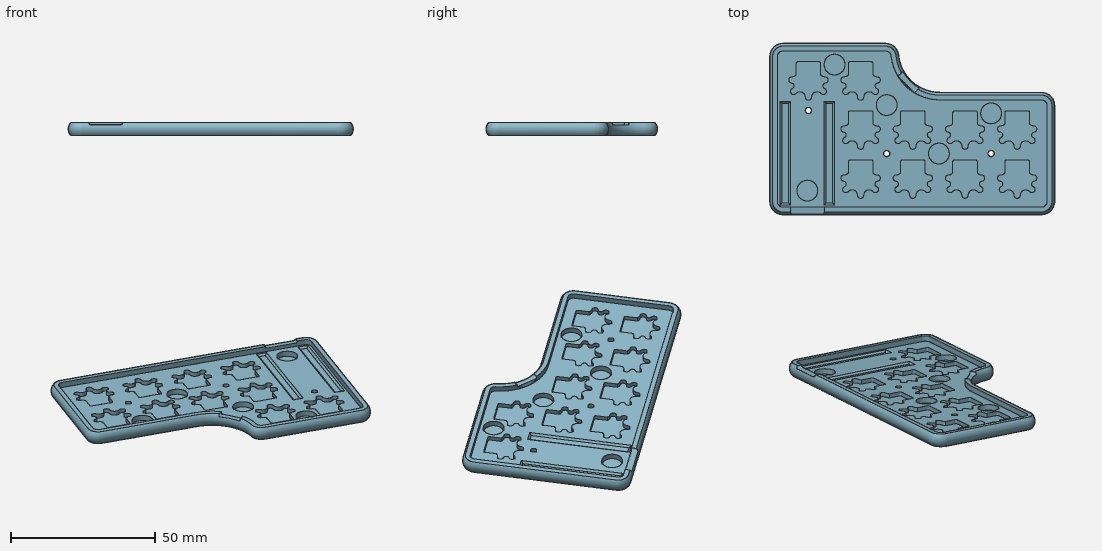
import cadquery as cq
import math

length = 98.9
width = 59.5
height = 4.6
corner_radius = 4.6
step_start = 40.2
step_drop = 17.0
sweep_radius = 14.3
edge_bulge = 1.0
rim_width = 2.7
tray_depth = 2.0
floor_z = height - tray_depth

column_pitch = 18.1
row_pitch = 17.0
grid_x = 13.5
grid_y = 12.8
cog_depth = 1.5
cog_cells = [(column, row) for row in (0, 1) for column in (1, 2, 3, 4)] + [(0, 2), (1, 2)]

stem_half_width = 4.3
stem_top = 6.3
stem_base = 1.8
stem_corner_radius = 0.6
lobe_radius = 1.1
side_lobe = (5.7, 0.0)
lower_lobe = (5.1, -4.0)
bottom_lobe = (0.0, -5.9)
shoulder_dip_radius = 2.1
side_dip_radius = 1.0
bottom_dip_radius = 1.9

pin_diameter = 2.1
magnet_diameter = 7.2
magnet_depth = 2.0

slot_axis_x = 13.1
slot_spacing = 15.3
slot_width = 3.7
slot_length = 35.9
slot_front_y = 3.5
slot_depth = 0.7
slot_taper = 45.0

notch_depth = 0.9
front_notch_width = 11.8
front_notch_fillet = 0.7
front_notch_slope = 4.0
curve_notch_width = 8.1
curve_notch_fillet = 0.5

arc_reach = corner_radius + sweep_radius
sweep_x = step_start + math.sqrt(arc_reach**2 - (arc_reach - step_drop) ** 2)
sweep_y = width - step_drop + sweep_radius


def outline(inset, z):
    """Closed tray outline, moved inwards by inset and drawn at height z."""
    convex = corner_radius - inset
    concave = sweep_radius + inset
    diagonal = convex * math.sqrt(0.5)
    left, right = inset, length - inset
    bottom, top = inset, width - inset
    step_top = top - step_drop
    near, far = corner_radius, length - corner_radius
    high = width - corner_radius
    step_high = high - step_drop

    turn = math.atan2(sweep_y - high, sweep_x - step_start)
    corner_mid = (turn + math.pi / 2) / 2
    sweep_mid = (turn + math.pi + 1.5 * math.pi) / 2

    def on_corner(angle):
        return (step_start + convex * math.cos(angle), high + convex * math.sin(angle))

    def on_sweep(angle):
        return (sweep_x + concave * math.cos(angle), sweep_y + concave * math.sin(angle))

    return (
        cq.Workplane("XY", origin=(0, 0, z))
        .moveTo(near, bottom)
        .lineTo(far, bottom)
        .threePointArc((far + diagonal, near - diagonal), (right, near))
        .lineTo(right, step_high)
        .threePointArc((far + diagonal, step_high + diagonal), (far, step_top))
        .lineTo(sweep_x, step_top)
        .threePointArc(on_sweep(sweep_mid), on_corner(turn))
        .threePointArc(on_corner(corner_mid), (step_start, top))
        .lineTo(near, top)
        .threePointArc((near - diagonal, high + diagonal), (left, high))
        .lineTo(left, near)
        .threePointArc((near - diagonal, near - diagonal), (near, bottom))
        .close()
    )


def tray():
    """Plate with a bulging rounded side and a shallow tray sunk into its top."""
    core = outline(edge_bulge, 0).extrude(height)
    rounded_side = (
        cq.Workplane("YZ", origin=(corner_radius, 0, 0))
        .moveTo(rim_width, 0)
        .lineTo(edge_bulge, 0)
        .threePointArc((0, height / 2), (edge_bulge, height))
        .lineTo(rim_width, height)
        .close()
        .sweep(outline(edge_bulge, 0))
    )
    recess = outline(rim_width, floor_z).extrude(tray_depth)
    return core.union(rounded_side).cut(recess)


def point_between(start, end, distance):
    """Point at the given distance from start, towards end."""
    span = math.dist(start, end)
    return tuple(a + (b - a) * distance / span for a, b in zip(start, end))


def dip_centre(first, first_radius, second, second_radius, dip_radius):
    """Centre of the dip circle touching two lobes, on the left going from first to second."""
    span = math.dist(first, second)
    reach_1 = first_radius + dip_radius
    reach_2 = second_radius + dip_radius
    along = (span**2 + reach_1**2 - reach_2**2) / (2 * span)
    aside = math.sqrt(reach_1**2 - along**2)
    ux, uy = ((b - a) / span for a, b in zip(first, second))
    return (first[0] + ux * along - uy * aside, first[1] + uy * along + ux * aside)


def arc_middle(centre, start, end, radius, side):
    """Middle of an arc that bulges to the left (side = 1) or right (side = -1) of its chord."""
    span = math.dist(start, end)
    normal_x = (start[1] - end[1]) / span
    normal_y = (end[0] - start[0]) / span
    return (centre[0] + side * radius * normal_x, centre[1] + side * radius * normal_y)


def mirrored(point):
    return (-point[0], point[1])


def cog_pocket():
    """Cutter for one pocket: a square stem above five rounded lobes, its floor at Z = 0."""
    shoulder = (stem_half_width, stem_base)
    half = [(shoulder, 0.0), (side_lobe, lobe_radius), (lower_lobe, lobe_radius)]
    other_half = [(mirrored(centre), radius) for centre, radius in reversed(half)]
    lobes = half + [(bottom_lobe, lobe_radius)] + other_half
    half_dips = [shoulder_dip_radius, side_dip_radius, bottom_dip_radius]
    dip_radii = half_dips + half_dips[::-1]

    path = cq.Workplane("XY").moveTo(*shoulder)
    here = shoulder
    for (lobe, radius), (next_lobe, next_radius), dip_radius in zip(lobes, lobes[1:], dip_radii):
        dip = dip_centre(lobe, radius, next_lobe, next_radius, dip_radius)
        if radius > 0:
            lobe_end = point_between(lobe, dip, radius)
            path = path.threePointArc(arc_middle(lobe, here, lobe_end, radius, 1), lobe_end)
            here = lobe_end
        dip_end = point_between(dip, next_lobe, dip_radius)
        path = path.threePointArc(arc_middle(dip, here, dip_end, dip_radius, -1), dip_end)
        here = dip_end
    lobed = path.close().extrude(cog_depth)

    stem_height = stem_top - stem_base
    stem = (
        cq.Workplane("XY")
        .center(0, stem_base + stem_height / 2)
        .rect(2 * stem_half_width, stem_height)
        .extrude(cog_depth)
        .edges("|Z and >Y")
        .fillet(stem_corner_radius)
    )
    return lobed.union(stem)


def grid_point(column, row):
    return (grid_x + column * column_pitch, grid_y + row * row_pitch)


def round_pockets(points, diameter, depth):
    """Cutter for flat-bottomed round holes sunk into the tray floor."""
    plane = cq.Workplane("XY", origin=(0, 0, floor_z - depth))
    return plane.pushPoints(points).circle(diameter / 2).extrude(depth)


def slot(centre_x):
    """Cutter for a slot whose four walls slope inwards to its floor."""
    middle = (centre_x, slot_front_y + slot_length / 2, floor_z)
    return (
        cq.Workplane("XY", origin=middle)
        .rect(slot_width, slot_length)
        .extrude(-slot_depth, taper=slot_taper)
    )


def rim_notch(top_width, fillet, reach):
    """Cutter for a notch with rounded floor corners, centred on X = 0, from Y = 0 to reach."""
    middle = (0, reach / 2, height - notch_depth)
    return (
        cq.Workplane("XY", origin=middle)
        .rect(top_width, reach)
        .extrude(2 * notch_depth)
        .edges("|Y and <Z")
        .fillet(fillet)
    )


def front_notch():
    """Cutter for the straight rim's notch, tilted so that its floor falls outwards."""
    reach = 2 * rim_width
    notch = rim_notch(front_notch_width, front_notch_fillet, reach)
    hinge_z = height - notch_depth
    tilted = notch.rotate((0, 0, hinge_z), (1, 0, hinge_z), front_notch_slope)
    return tilted.translate((slot_axis_x, 0, 0))


def curve_notch():
    """Cutter for the notch across the concave rim, with a flat slope down to the tray floor."""
    inner_radius = sweep_radius + rim_width
    half_width = curve_notch_width / 2
    notch_floor = height - notch_depth
    ledge = math.sqrt(inner_radius**2 - half_width**2)
    notch = rim_notch(curve_notch_width, curve_notch_fillet, inner_radius)
    slope = (
        cq.Workplane("YZ", origin=(-half_width, 0, 0))
        .polyline([(ledge, notch_floor), (inner_radius, floor_z), (inner_radius, notch_floor)])
        .close()
        .extrude(curve_notch_width)
    )
    return notch.union(slope).rotate((0, 0, 0), (0, 0, 1), 135).translate((sweep_x, sweep_y, 0))


result = tray()

pocket = cog_pocket()
for column, row in cog_cells:
    x, y = grid_point(column, row)
    result = result.cut(pocket.translate((x, y, floor_z - cog_depth)))

pin_points = [grid_point(1.5, 0.5), grid_point(3.5, 0.5), (grid_x, 36.2)]
magnet_points = [
    (slot_axis_x, 8.4),
    (grid_point(1.5, 0)[0], 38.1),
    (grid_point(0.5, 0)[0], 52.1),
    grid_point(2.5, 0.5),
    (grid_point(3.5, 0)[0], 35.2),
]
result = result.cut(round_pockets(pin_points, pin_diameter, floor_z))
result = result.cut(round_pockets(magnet_points, magnet_diameter, magnet_depth))

for side in (-1, 1):
    result = result.cut(slot(slot_axis_x + side * slot_spacing / 2))

result = result.cut(front_notch())
result = result.cut(curve_notch())